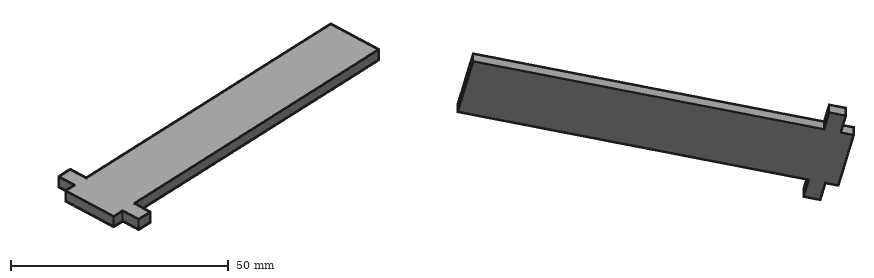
import cadquery as cq

blade_length = 90.0
blade_width = 15.0
thickness = 3.0
crossbar_span = 25.0
crossbar_width = 4.0
end_to_crossbar = 3.1

blade = cq.Workplane("XY").box(blade_width, blade_length, thickness)

crossbar_y = -blade_length / 2 + end_to_crossbar + crossbar_width / 2
crossbar = (
    cq.Workplane("XY")
    .center(0, crossbar_y)
    .box(crossbar_span, crossbar_width, thickness)
)

result = blade.union(crossbar)